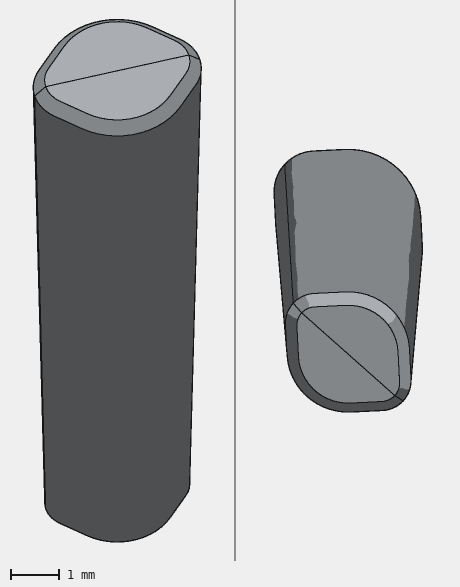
import cadquery as cq
import math

LENGTH = 14.7
WIDTH = 2.98
DEPTH = 3.51
TAPER_INSET = 0.24
CHAMFER = 0.24

HALF_WIDTH = WIDTH / 2
HALF_DEPTH = DEPTH / 2

DIAGONAL = math.sqrt(0.5)
FLANK_REACH = HALF_WIDTH / DIAGONAL
END_RADIUS = (FLANK_REACH - HALF_DEPTH) * DIAGONAL / (1 - DIAGONAL)
END_CENTRE = HALF_DEPTH - END_RADIUS

SECTIONS = [
    (0, TAPER_INSET + CHAMFER),
    (CHAMFER, TAPER_INSET),
    (LENGTH - CHAMFER, 0),
    (LENGTH, CHAMFER),
]


def half_outline(height, inset, side):
    """Outline of one half on the given side of X = 0, offset inward by the inset."""
    side_radius = HALF_WIDTH - inset
    end_radius = END_RADIUS - inset
    tip_y = END_CENTRE + end_radius
    flank_outer = side_radius * DIAGONAL
    flank_inner_x = end_radius * DIAGONAL
    flank_inner_y = END_CENTRE + flank_inner_x
    mid_x = end_radius * math.sin(math.pi / 8)
    mid_y = END_CENTRE + end_radius * math.cos(math.pi / 8)
    outline = (
        cq.Workplane("XY", origin=(0, 0, height))
        .moveTo(0, -tip_y)
        .threePointArc((side * mid_x, -mid_y), (side * flank_inner_x, -flank_inner_y))
        .lineTo(side * flank_outer, -flank_outer)
        .threePointArc((side * side_radius, 0), (side * flank_outer, flank_outer))
        .lineTo(side * flank_inner_x, flank_inner_y)
        .threePointArc((side * mid_x, mid_y), (0, tip_y))
        .close()
    )
    return outline.val()


def pin_half(side):
    """One solid half of the pin, with straight walls between its cross-sections."""
    outlines = [half_outline(height, inset, side) for height, inset in SECTIONS]
    return cq.Solid.makeLoft(outlines, True)


pin_halves = [pin_half(side) for side in (-1, 1)]

result = cq.Compound.makeCompound(pin_halves)